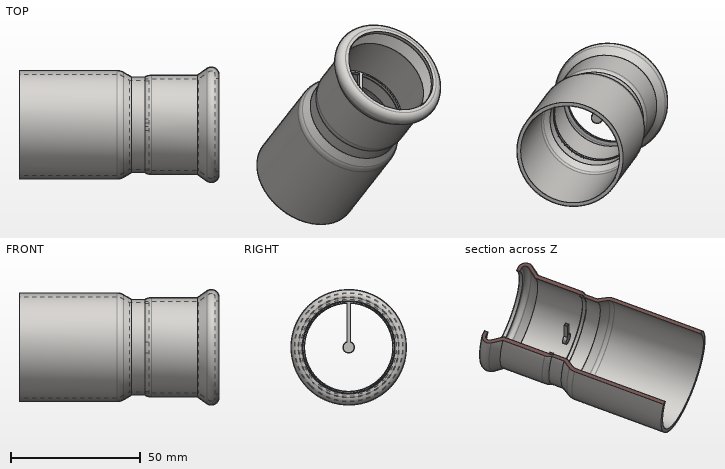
import cadquery as cq
import math

total_length = 77.0

spigot_radius = 42.0 / 2
spigot_bore_radius = 39.0 / 2
neck_radius = 37.0 / 2
neck_bore_radius = 34.4 / 2
socket_radius = 38.4 / 2
socket_bore_radius = 35.3 / 2
mouth_radius = 35.9 / 2
wall = spigot_radius - spigot_bore_radius

spigot_length = 37.55
neck_end = 48.4

bend_radius = 5.0
neck_cone_angle = math.radians(30)

bead_outer_radius = 44.6 / 2
bead_radius = 3.0
bead_cone_angle = math.radians(35)
bead_centre_radius = bead_outer_radius - bead_radius
bead_centre_x = total_length - bead_radius
groove_radius = bead_radius - wall

insert_thickness = 1.5
ring_bore_radius = 34.0 / 2
disc_radius = 4.4 / 2
spoke_width = 1.4


def point_on_circle(centre, radius, angle):
    """Point (x, r) on a circle, the angle measured from the outward radial towards +X."""
    return (centre[0] + radius * math.sin(angle), centre[1] + radius * math.cos(angle))


def spigot_bend(start_radius, radius):
    """Middle and end of the arc that bends the spigot wall down to the neck cone."""
    centre = (spigot_length, start_radius - radius)
    middle = point_on_circle(centre, radius, neck_cone_angle / 2)
    end = point_on_circle(centre, radius, neck_cone_angle)
    return middle, end


def cone_length(top, foot_radius, angle):
    """Axial distance a cone takes from the point `top` down to the foot radius."""
    return (top[1] - foot_radius) / math.tan(angle)


def make_housing():
    outer_middle, outer_bend_end = spigot_bend(spigot_radius, bend_radius)
    inner_middle, inner_bend_end = spigot_bend(spigot_bore_radius, bend_radius - wall)
    neck_start = outer_bend_end[0] + cone_length(outer_bend_end, neck_radius, neck_cone_angle)
    neck_bore_start = inner_bend_end[0] + cone_length(inner_bend_end, neck_bore_radius, neck_cone_angle)

    rise_angle = math.acos(1 - (socket_radius - neck_radius) / bend_radius)
    socket_start = neck_end + bend_radius * math.sin(rise_angle)
    rise_centre = (socket_start, socket_radius - bend_radius)
    rise_middle = point_on_circle(rise_centre, bend_radius, -rise_angle / 2)

    bead_centre = (bead_centre_x, bead_centre_radius)
    arc_middle_angle = (math.pi / 2 - bead_cone_angle) / 2
    bead_start = point_on_circle(bead_centre, bead_radius, -bead_cone_angle)
    bead_middle = point_on_circle(bead_centre, bead_radius, arc_middle_angle)
    groove_start = point_on_circle(bead_centre, groove_radius, -bead_cone_angle)
    groove_middle = point_on_circle(bead_centre, groove_radius, arc_middle_angle)
    socket_end = bead_start[0] - cone_length(bead_start, socket_radius, bead_cone_angle)
    socket_bore_end = groove_start[0] - cone_length(groove_start, socket_bore_radius, bead_cone_angle)

    profile = (
        cq.Workplane("XY")
        .moveTo(0, spigot_bore_radius)
        .lineTo(0, spigot_radius)
        .lineTo(spigot_length, spigot_radius)
        .threePointArc(outer_middle, outer_bend_end)
        .lineTo(neck_start, neck_radius)
        .lineTo(neck_end, neck_radius)
        .threePointArc(rise_middle, (socket_start, socket_radius))
        .lineTo(socket_end, socket_radius)
        .lineTo(*bead_start)
        .threePointArc(bead_middle, (total_length, bead_centre_radius))
        .lineTo(total_length, mouth_radius)
        .lineTo(total_length - wall, mouth_radius)
        .lineTo(total_length - wall, bead_centre_radius)
        .threePointArc(groove_middle, groove_start)
        .lineTo(socket_bore_end, socket_bore_radius)
        .lineTo(neck_end, socket_bore_radius)
        .lineTo(neck_end, neck_bore_radius)
        .lineTo(neck_bore_start, neck_bore_radius)
        .lineTo(*inner_bend_end)
        .threePointArc(inner_middle, (spigot_length, spigot_bore_radius))
        .close()
    )
    return profile.revolve(360, (0, 0, 0), (1, 0, 0))


def make_insert():
    face = cq.Workplane("YZ", origin=(neck_end, 0, 0))
    ring = face.circle(socket_bore_radius).circle(ring_bore_radius).extrude(insert_thickness)
    disc = face.circle(disc_radius).extrude(insert_thickness)
    spoke_length = (ring_bore_radius + socket_bore_radius) / 2
    spoke = face.center(0, spoke_length / 2).rect(spoke_width, spoke_length).extrude(insert_thickness)
    return ring.union(spoke).union(disc)


housing = make_housing()
insert = make_insert()

result = cq.Compound.makeCompound([housing.val(), insert.val()])